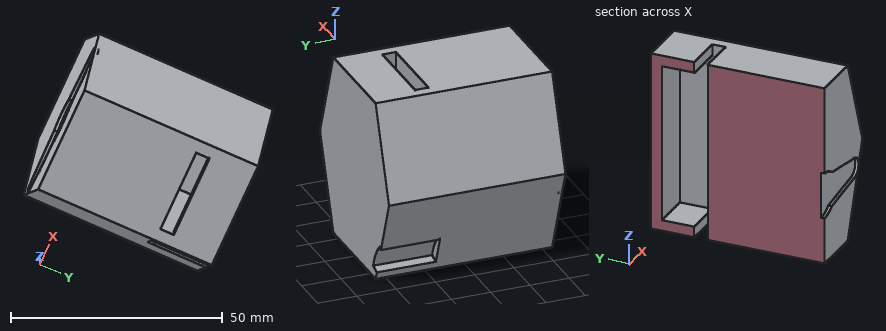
import cadquery as cq
import math

width = 43.35
length = 45.0
height = 46.25
flat_width = 26.55
front_y = -length / 2
back_y = length / 2

slot_width = 20.45
slot_length = 3.4
slot_back_offset = 11.3
slot_front_y = back_y - slot_back_offset - slot_length

chamber_wall = 2.9

recess_depth = 0.9
recess_z = -5.25
recess_tilt = 1.2
hub_radius = 5.87
hub_corner_x = 4.15
hub_corner_z = 4.45
tip_radius = 2.6
tip_x = 16.85

notch_length = 15.05
notch_top_z = -13.95
notch_bottom_z = -21.0
notch_corner_x = -11.7
notch_corner_z = -20.3
notch_bulge = 0.6
notch_arc_top_x = -16.1
notch_arc_top_z = -13.27


def left_face_x(z):
    """X of the sloping left side of the body at height z."""
    slope = (width - flat_width) / height
    return -width / 2 + slope * abs(z)


def make_body():
    half_flat = flat_width / 2
    half_height = height / 2
    outline = [
        (-half_flat, -half_height),
        (half_flat, -half_height),
        (width / 2, 0),
        (half_flat, half_height),
        (-half_flat, half_height),
        (-width / 2, 0),
    ]
    return cq.Workplane("XZ").polyline(outline).close().extrude(length / 2, both=True)


def make_slot():
    slot_y = slot_front_y + slot_length / 2
    return cq.Workplane("XY").box(slot_width, slot_length, height).translate((0, slot_y, 0))


def make_chamber():
    chamber_length = back_y - chamber_wall - slot_front_y
    chamber_height = height - 2 * chamber_wall
    chamber_y = slot_front_y + chamber_length / 2
    chamber = cq.Workplane("XY").box(slot_width, chamber_length, chamber_height)
    return chamber.translate((0, chamber_y, 0))


def make_recess():
    run = tip_x - hub_corner_x
    drop = hub_corner_z - tip_radius
    flank_angle = math.atan2(drop, run)
    tangent_x = tip_x + tip_radius * math.sin(flank_angle)
    tangent_z = tip_radius * math.cos(flank_angle)
    end_x = tip_x + tip_radius
    outline = (
        cq.Workplane("XZ", origin=(0, front_y, recess_z))
        .moveTo(-hub_corner_x, hub_corner_z)
        .threePointArc((0, hub_radius), (hub_corner_x, hub_corner_z))
        .lineTo(tangent_x, tangent_z)
        .threePointArc((end_x, 0), (tangent_x, -tangent_z))
        .lineTo(hub_corner_x, -hub_corner_z)
        .threePointArc((0, -hub_radius), (-hub_corner_x, -hub_corner_z))
        .lineTo(-tangent_x, -tangent_z)
        .threePointArc((-end_x, 0), (-tangent_x, tangent_z))
        .close()
    )
    recess = outline.extrude(-recess_depth)
    return recess.rotate((0, 0, recess_z), (0, 1, recess_z), recess_tilt)


def make_notch():
    top = (left_face_x(notch_top_z), notch_top_z)
    bottom = (left_face_x(notch_bottom_z), notch_bottom_z)
    corner = (notch_corner_x, notch_corner_z)
    return (
        cq.Workplane("XZ", origin=(0, back_y, 0))
        .moveTo(*top)
        .lineTo(notch_arc_top_x, notch_arc_top_z)
        .sagittaArc(corner, notch_bulge)
        .lineTo(*bottom)
        .close()
        .extrude(notch_length)
    )


result = make_body().cut(make_slot()).cut(make_chamber()).cut(make_recess()).cut(make_notch())